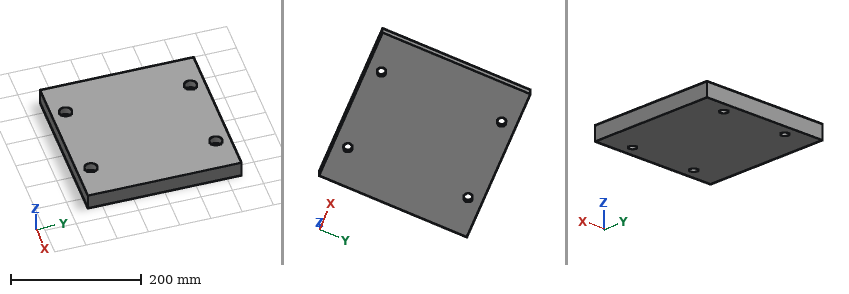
import cadquery as cq

plate_side = 246.0
plate_thickness = 27.0

hole_spacing_x = 130.0
hole_spacing_y = 200.0
hole_diameter = 14.0
counterbore_diameter = 20.0
counterbore_depth = 14.0


def make_plate():
    """Square plate centred on the Z axis with its underside at Z = 0."""
    return cq.Workplane("XY").box(
        plate_side, plate_side, plate_thickness, centered=(True, True, False)
    )


def add_bolt_holes(plate):
    """Four through holes, counterbored from the top face."""
    return (
        plate.faces(">Z")
        .workplane()
        .rect(hole_spacing_x, hole_spacing_y, forConstruction=True)
        .vertices()
        .cboreHole(hole_diameter, counterbore_diameter, counterbore_depth)
    )


result = add_bolt_holes(make_plate())